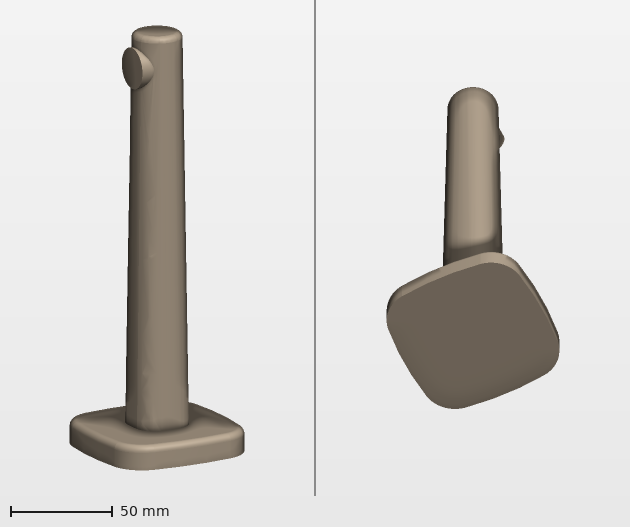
import cadquery as cq
import math

total_height = 212.0
base_width = 74.5
base_height = 12.3
base_side_half_length = 21.5
base_side_bow = 1.5
base_edge_radius = 3.4

foot_width = 28.6
foot_side_half_length = 5.0
foot_side_bow = 0.2
post_top_diameter = 25.0
post_edge_radius = 3.0

boss_diameter = 20.8
boss_center_below_top = 17.2
boss_reach = 14.0


def bowed_square(plane, width, side_half_length, side_bow):
    """Four bowed sides joined by corner arcs that are tangent to them."""
    half_width = width / 2
    side_end = half_width - side_bow
    end_slope = 2 * math.atan(side_bow / side_half_length)
    half_corner_angle = math.pi / 4 - end_slope
    corner_half_chord = (side_end - side_half_length) / math.sqrt(2)
    corner_bow = corner_half_chord * math.tan(half_corner_angle / 2)
    corner_middle = (side_end + side_half_length) / 2 + corner_bow / math.sqrt(2)

    outline = plane.moveTo(side_end, -side_half_length)
    for quarter in range(4):
        angle = quarter * math.pi / 2

        def turned(x, y):
            return (
                x * math.cos(angle) - y * math.sin(angle),
                x * math.sin(angle) + y * math.cos(angle),
            )

        outline = outline.threePointArc(turned(half_width, 0), turned(side_end, side_half_length))
        outline = outline.threePointArc(
            turned(corner_middle, corner_middle), turned(side_half_length, side_end)
        )
    return outline.close()


def make_base():
    outline = bowed_square(cq.Workplane("XY"), base_width, base_side_half_length, base_side_bow)
    return outline.extrude(base_height).faces(">Z").edges().fillet(base_edge_radius)


def make_post():
    top_radius = post_top_diameter / 2
    arc_half_angle = math.pi / 8
    top_side_half_length = top_radius * math.sin(arc_half_angle)
    top_side_bow = top_radius * (1 - math.cos(arc_half_angle))

    foot_plane = cq.Workplane("XY").workplane(offset=base_height)
    foot = bowed_square(foot_plane, foot_width, foot_side_half_length, foot_side_bow)
    top_plane = foot.workplane(offset=total_height - base_height)
    top = bowed_square(top_plane, post_top_diameter, top_side_half_length, top_side_bow)
    return top.loft(ruled=True).faces(">Z").edges().fillet(post_edge_radius)


def make_boss():
    boss_center_height = total_height - boss_center_below_top
    return (
        cq.Workplane("XZ")
        .center(0, boss_center_height)
        .circle(boss_diameter / 2)
        .extrude(boss_reach)
    )


result = make_base().union(make_post()).union(make_boss())